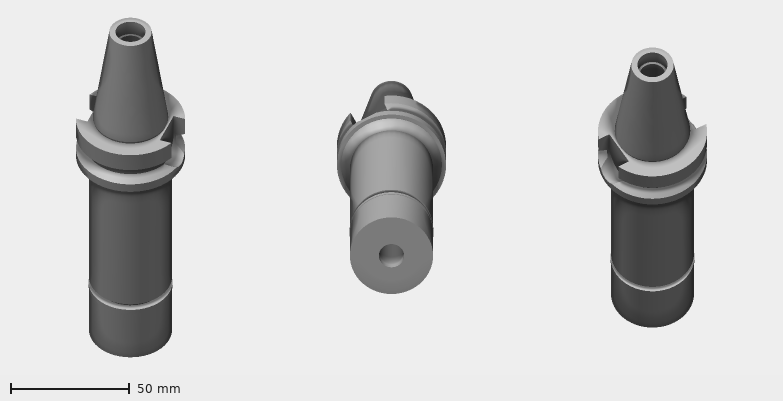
import cadquery as cq


total_height = 168.4
nut_height = 25.0
ring_thickness = 2.0
neck_height = 3.0
shank_top = 94.3
flange_bottom = 98.5
groove_bottom = 105.0
groove_top = 108.5
flange_top = 119.2
taper_bottom = 120.2

nut_diameter = 35.0
ring_diameter = 35.4
neck_diameter = 29.5
shank_diameter = nut_diameter
cone_diameter = 42.5
flange_diameter = 46.0
groove_diameter = 38.2
collar_diameter = 31.2
taper_large_diameter = 31.8
taper_small_diameter = 17.9
bore_diameter = 10.6
counterbore_diameter = 12.6
counterbore_depth = 6.9

groove_slope_height = 2.4

slot_width = 16.2
slot_bottom = 101.4
slot_floor_distance = 16.3

ring_bottom = nut_height
ring_top = ring_bottom + ring_thickness
shank_bottom = ring_top + neck_height


def make_tube(diameter, bottom, height):
    """Plain round body with the common bore through it."""
    base = cq.Workplane("XY").workplane(offset=bottom)
    return base.circle(diameter / 2).circle(bore_diameter / 2).extrude(height)


def make_slot_cutter(side):
    """Round-bottomed drive slot, open at the flange top and on its outer side (-1 or +1)."""
    arc_center_height = slot_bottom + slot_width / 2
    profile = (
        cq.Workplane("YZ")
        .workplane(offset=side * slot_floor_distance)
        .moveTo(-slot_width / 2, flange_top)
        .lineTo(-slot_width / 2, arc_center_height)
        .threePointArc((0, slot_bottom), (slot_width / 2, arc_center_height))
        .lineTo(slot_width / 2, flange_top)
        .close()
    )
    return profile.extrude(side * flange_diameter / 2)


def make_holder():
    steps = [
        (neck_diameter, ring_top),
        (neck_diameter, shank_bottom),
        (shank_diameter, shank_bottom),
        (shank_diameter, shank_top),
        (cone_diameter, flange_bottom),
        (flange_diameter, flange_bottom),
        (flange_diameter, groove_bottom - groove_slope_height),
        (groove_diameter, groove_bottom),
        (groove_diameter, groove_top),
        (flange_diameter, groove_top + groove_slope_height),
        (flange_diameter, flange_top),
        (collar_diameter, flange_top),
        (collar_diameter, taper_bottom),
        (taper_large_diameter, taper_bottom),
        (taper_small_diameter, total_height),
    ]
    outline = [(diameter / 2, height) for diameter, height in steps]
    profile = cq.Workplane("XZ").polyline([(0, ring_top), *outline, (0, total_height)]).close()
    body = profile.revolve(360, (0, 0), (0, 1))

    body = body.faces(">Z").workplane(origin=(0, 0, total_height)).cboreHole(
        bore_diameter, counterbore_diameter, counterbore_depth
    )

    for side in (-1, 1):
        body = body.cut(make_slot_cutter(side))
    return body


holder = make_holder()
ring = make_tube(ring_diameter, ring_bottom, ring_thickness)
nut = make_tube(nut_diameter, 0, nut_height)

result = cq.Compound.makeCompound([holder.val(), ring.val(), nut.val()])